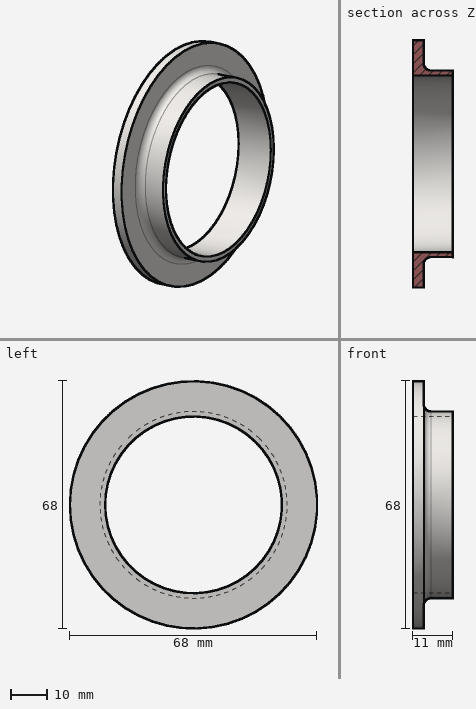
import cadquery as cq

flange_diameter = 68.0
flange_thickness = 3.0
collar_diameter = 51.4
bore_diameter = 48.5
total_length = 11.0
root_fillet = 2.0

flange_radius = flange_diameter / 2
collar_radius = collar_diameter / 2
bore_radius = bore_diameter / 2
fillet_end_x = flange_thickness + root_fillet
fillet_outer_radius = collar_radius + root_fillet

section = (
    cq.Workplane("XY")
    .moveTo(0, bore_radius)
    .lineTo(0, flange_radius)
    .lineTo(flange_thickness, flange_radius)
    .lineTo(flange_thickness, fillet_outer_radius)
    .radiusArc((fillet_end_x, collar_radius), -root_fillet)
    .lineTo(total_length, collar_radius)
    .lineTo(total_length, bore_radius)
    .close()
)

result = section.revolve(360, (0, 0, 0), (1, 0, 0))